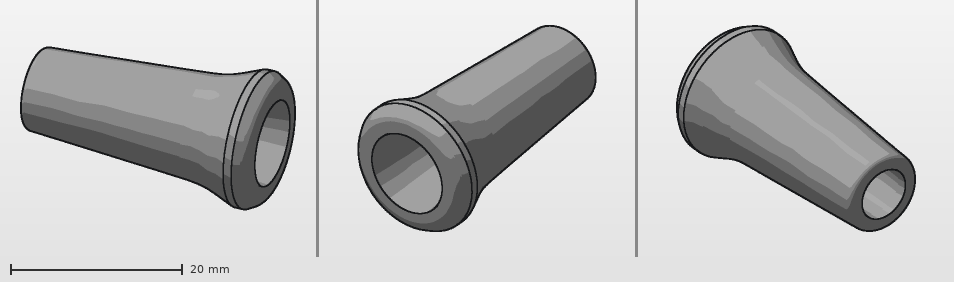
import cadquery as cq
import math

length = 29.97
rim_radius = 8.27

tip_fillet = 0.72
tip_radius = 4.98
stem_end = 20.95
stem_end_radius = 6.4

flare_arc_end = 24.88
rim_start = 27.27
flare_slope = math.radians(21.8)
flare_arc_end_radius = rim_radius - (rim_start - flare_arc_end) * math.tan(flare_slope)

rim_end = 28.3
chamfer_slope = math.radians(29.0)
end_fillet = 1.55
end_radius = rim_radius - (length - rim_end) * math.tan(chamfer_slope)

bore_radius = 3.2
bore_straight_depth = 1.35
bore_slope = math.atan2(stem_end_radius - tip_radius, stem_end)
bore_end_radius = bore_radius + (length - bore_straight_depth) * math.tan(bore_slope)


def revolve_about_x(profile):
    """Turn a closed half profile in the XZ plane into a solid of revolution."""
    return profile.close().revolve(360, (0, 0, 0), (1, 0, 0))


def make_body():
    """Solid outer shape with both end edges rounded."""
    profile = (
        cq.Workplane("XZ")
        .lineTo(0, tip_radius)
        .lineTo(stem_end, stem_end_radius)
        .tangentArcPoint((flare_arc_end, flare_arc_end_radius), relative=False)
        .lineTo(rim_start, rim_radius)
        .lineTo(rim_end, rim_radius)
        .lineTo(length, end_radius)
        .lineTo(length, 0)
    )
    body = revolve_about_x(profile)
    body = body.faces("<X").edges().fillet(tip_fillet)
    return body.faces(">X").edges().fillet(end_fillet)


def make_bore():
    """Through bore, straight at the tip and widening towards the rim."""
    profile = (
        cq.Workplane("XZ")
        .lineTo(0, -bore_radius)
        .lineTo(bore_straight_depth, -bore_radius)
        .lineTo(length, -bore_end_radius)
        .lineTo(length, 0)
    )
    return revolve_about_x(profile)


result = make_body().cut(make_bore())